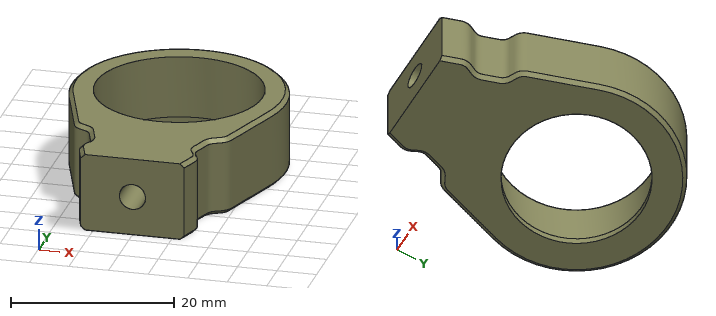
import cadquery as cq
import math

length = 36.5
height = 10.0
ring_radius = 13.5
foot_y = ring_radius - length
foot_half_width = 6.55
edge_chamfer = 0.5

seat_radius = 10.5
through_radius = 9.25
ledge_height = 1.1
groove_radius = 11.0
groove_height = 0.95

notch_depth = 1.6
notch_start = 9.9
notch_end = 16.55
outer_round = 2.0
inner_round = 1.5

drill_radius = 1.65
drill_depth = 7.3
drill_tip_angle = 118.0

corner_distance = math.hypot(foot_half_width, foot_y)
tangent_angle = math.atan2(foot_y, foot_half_width) + math.acos(ring_radius / corner_distance)


def flank_point(along, inward=0.0):
    """Point on the right flank, measured from its tangent point on the ring."""
    radial = ring_radius - inward
    cosine = math.cos(tangent_angle)
    sine = math.sin(tangent_angle)
    return (radial * cosine + along * sine, radial * sine - along * cosine)


def mirrored(point):
    return (-point[0], point[1])


def notch_corners():
    """Corner points of the right notch, in order down the flank."""
    return [
        flank_point(notch_start),
        flank_point(notch_start + notch_depth, notch_depth),
        flank_point(notch_end - notch_depth, notch_depth),
        flank_point(notch_end),
    ]


def make_body():
    """Ring and tapered neck, with rounded notches and chamfered top and bottom rims."""
    tangent = flank_point(0)
    notch = notch_corners()
    right_side = notch + [(foot_half_width, foot_y)]
    left_side = [mirrored(point) for point in reversed(right_side)]
    body = cq.Workplane("XY").moveTo(*tangent)
    for point in right_side + left_side + [mirrored(tangent)]:
        body = body.lineTo(*point)
    body = body.threePointArc((0, ring_radius), tangent).close().extrude(height)

    rounds = [outer_round, inner_round, inner_round, outer_round]
    for (x, y), radius in zip(notch, rounds):
        for corner_x in (x, -x):
            corner = cq.selectors.NearestToPointSelector((corner_x, y, height / 2))
            body = body.edges("|Z").edges(corner).fillet(radius)

    rims = body.faces("|Z").edges().edges("not <Y")
    return rims.chamfer(edge_chamfer)


def make_bore():
    """Through bore, wider seat above the ledge and a retaining groove at the seat's base."""
    through = cq.Workplane("XY").circle(through_radius).extrude(height)
    ledge = cq.Workplane("XY").workplane(offset=ledge_height)
    seat = ledge.circle(seat_radius).extrude(height - ledge_height)
    groove = ledge.circle(groove_radius).extrude(groove_height)
    return through.union(seat).union(groove)


def make_drilled_hole():
    """Blind hole with a conical tip, revolved about its axis at mid height."""
    tip_length = drill_radius / math.tan(math.radians(drill_tip_angle / 2))
    hole_end = foot_y + drill_depth
    return (
        cq.Workplane("XY", origin=(0, 0, height / 2))
        .moveTo(0, foot_y)
        .lineTo(drill_radius, foot_y)
        .lineTo(drill_radius, hole_end)
        .lineTo(0, hole_end + tip_length)
        .close()
        .revolve(360, (0, 0, 0), (0, 1, 0))
    )


result = make_body().cut(make_bore()).cut(make_drilled_hole())